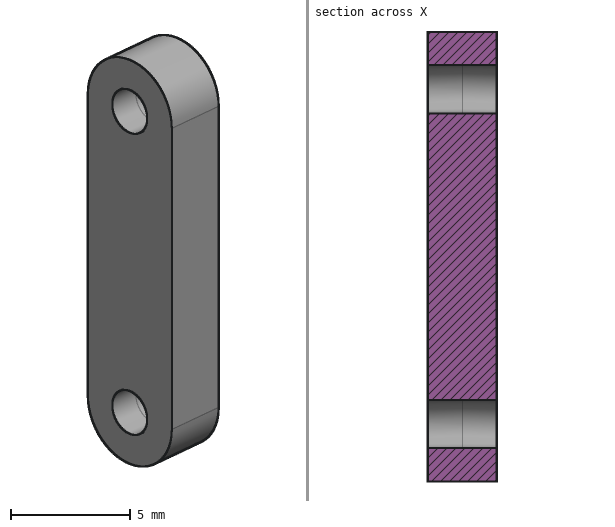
import cadquery as cq

length = 18.83
width = 4.8
thickness = 2.9
hole_diameter = 2.0

hole_spacing = length - width

body = cq.Workplane("XZ").slot2D(length, width, angle=90).extrude(thickness / 2, both=True)

hole_centres = [(0, -hole_spacing / 2), (0, hole_spacing / 2)]
holes = (
    cq.Workplane("XZ")
    .pushPoints(hole_centres)
    .circle(hole_diameter / 2)
    .extrude(thickness, both=True)
)

result = body.cut(holes)